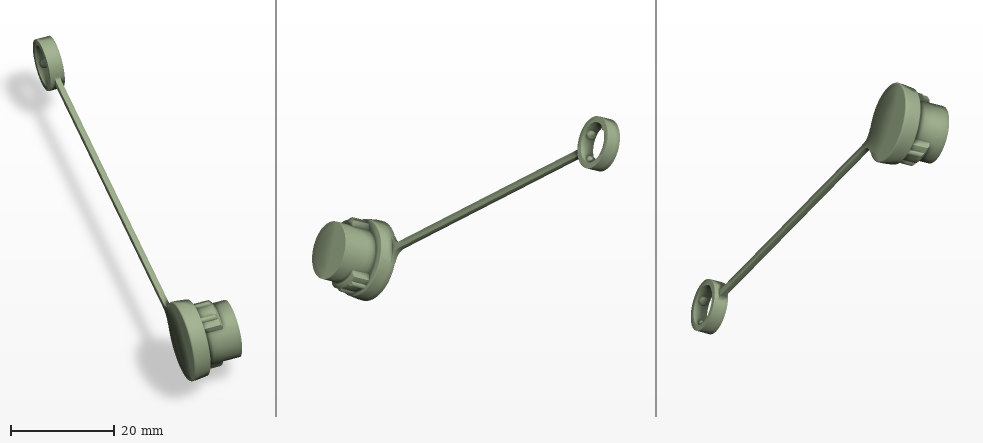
import cadquery as cq
import math

overall_length = 91.2

ring_radius = 5.2
ring_bore_radius = 4.0
ring_depth = 2.9
nub_radius = 0.9
nub_height = 1.0
nub_tip_fillet = 0.55
nub_count = 4
first_nub_angle = 45.0

strap_width = 1.4
strap_thickness = 1.1
ring_joint_fillet = 0.9
disc_joint_fillet = 3.0
joint_overlap = 0.4

disc_front_diameter = 15.95
disc_front_radius = disc_front_diameter / 2
disc_back_radius = 7.7
disc_thickness = 3.5
disc_edge_fillet = 0.3
plug_radius = 5.7
plug_end = 11.5

lug_radius = 6.8
lug_width = 7.0
lug_end = 8.3
lug_chamfer = 0.5
rib_radius = 0.55
rib_offset = 1.8

ring_x = ring_radius
disc_x = overall_length - disc_front_radius
strap_front = (ring_depth - strap_thickness) / 2
disc_back = strap_front + disc_thickness


def cylinder_along_y(x, radius, y_start, y_end):
    """Solid cylinder on an axis parallel to Y."""
    plane = cq.Workplane("XZ", origin=(x, y_start, 0))
    return plane.circle(radius).extrude(y_start - y_end)


def make_ring():
    ring = cylinder_along_y(ring_x, ring_radius, 0, ring_depth)
    return ring.cut(cylinder_along_y(ring_x, ring_bore_radius, 0, ring_depth))


def make_nubs():
    """Round-tipped studs standing inwards from the ring bore."""
    root_radius = (ring_radius + ring_bore_radius) / 2
    tip_radius = ring_bore_radius - nub_height
    stud = (
        cq.Workplane("YZ", origin=(tip_radius, 0, 0))
        .circle(nub_radius)
        .extrude(root_radius - tip_radius)
        .faces("<X")
        .edges()
        .fillet(nub_tip_fillet)
    )
    nubs = cq.Workplane("XY")
    for index in range(nub_count):
        angle = first_nub_angle + index * 360 / nub_count
        nubs = nubs.union(stud.rotate((0, 0, 0), (0, 1, 0), angle))
    return nubs.translate((ring_x, ring_depth / 2, 0))


def make_strap():
    length = disc_x - ring_x - ring_radius
    strap = cq.Workplane("XY").box(length, strap_thickness, strap_width, centered=(False, False, True))
    return strap.translate((ring_x + ring_radius, strap_front, 0))


def make_joint(circle_x, circle_radius, fillet, direction):
    """Web that blends the strap into a round end; direction is +1 when the strap leaves towards +X."""
    half_width = strap_width / 2
    centre_z = half_width + fillet
    reach = circle_radius + fillet
    centre_dx = math.sqrt(reach**2 - centre_z**2)
    touch_dx = centre_dx * circle_radius / reach
    touch_z = centre_z * circle_radius / reach

    end_angle = math.atan2(touch_z - centre_z, touch_dx - centre_dx)
    mid_angle = (end_angle - math.pi / 2) / 2
    mid_dx = centre_dx + fillet * math.cos(mid_angle)
    mid_z = centre_z + fillet * math.sin(mid_angle)

    def at(dx, z):
        return (circle_x + direction * dx, z)

    root_dx = math.sqrt(circle_radius**2 - touch_z**2) - joint_overlap
    return (
        cq.Workplane("XZ", origin=(0, strap_front, 0))
        .moveTo(*at(centre_dx, half_width))
        .threePointArc(at(mid_dx, mid_z), at(touch_dx, touch_z))
        .lineTo(*at(root_dx, touch_z))
        .lineTo(*at(root_dx, -touch_z))
        .lineTo(*at(touch_dx, -touch_z))
        .threePointArc(at(mid_dx, -mid_z), at(centre_dx, -half_width))
        .close()
        .extrude(-strap_thickness)
    )


def make_disc():
    """Disc with a gently bulged rim wall and rounded front and back edges."""
    disc_middle = (strap_front + disc_back) / 2
    bulge_radius = disc_front_radius - (disc_front_radius - disc_back_radius) / 4
    disc = (
        cq.Workplane("XY")
        .moveTo(0, strap_front)
        .lineTo(disc_front_radius, strap_front)
        .threePointArc((bulge_radius, disc_middle), (disc_back_radius, disc_back))
        .lineTo(0, disc_back)
        .close()
        .revolve(360, (0, 0, 0), (0, 1, 0))
    )
    return disc.faces("<Y or >Y").edges().fillet(disc_edge_fillet).translate((disc_x, 0, 0))


def make_lugs():
    """Two opposite ribbed lugs whose free ends share one 45 degree conical chamfer."""
    length = lug_end - disc_back
    slab = cq.Workplane("XY").box(lug_width, length, 2 * lug_radius, centered=(True, False, True))
    slab = slab.translate((disc_x, disc_back, 0))
    lugs = slab.intersect(cylinder_along_y(disc_x, lug_radius, disc_back, lug_end))

    rib_z = math.sqrt(lug_radius**2 - rib_offset**2)
    for x_side in (-1, 1):
        for z_side in (-1, 1):
            rib = cylinder_along_y(disc_x + x_side * rib_offset, rib_radius, disc_back, lug_end)
            lugs = lugs.union(rib.translate((0, 0, z_side * rib_z)))

    cone_tip_radius = lug_radius - lug_chamfer
    cone_base_radius = cone_tip_radius + length
    envelope = (
        cq.Workplane("XY")
        .moveTo(0, disc_back)
        .lineTo(cone_base_radius, disc_back)
        .lineTo(cone_tip_radius, lug_end)
        .lineTo(0, lug_end)
        .close()
        .revolve(360, (0, 0, 0), (0, 1, 0))
        .translate((disc_x, 0, 0))
    )
    return lugs.intersect(envelope)


cap = make_disc().union(cylinder_along_y(disc_x, plug_radius, disc_back, plug_end)).union(make_lugs())
ring = make_ring().union(make_nubs())
ring_joint = make_joint(ring_x, ring_radius, ring_joint_fillet, 1)
disc_joint = make_joint(disc_x, disc_front_radius, disc_joint_fillet, -1)

result = cap.union(disc_joint).union(make_strap()).union(ring_joint).union(ring)